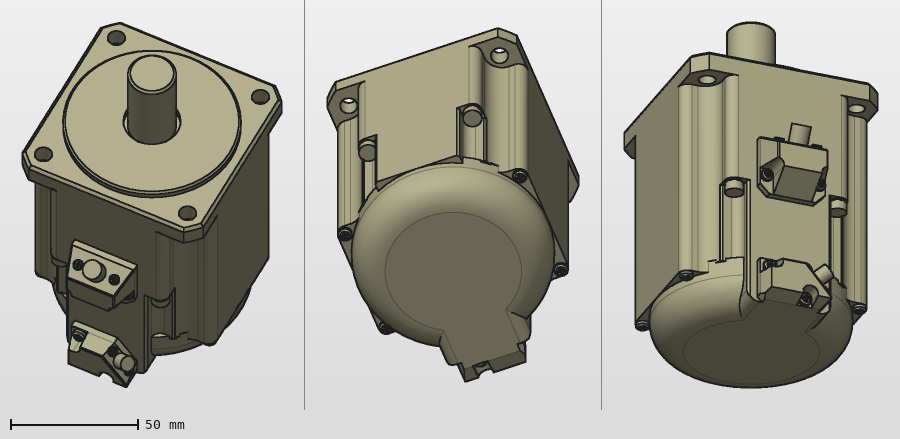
import cadquery as cq
import math


TOTAL_HEIGHT = 142.5
SQUARE = 80.0
HALF = SQUARE / 2

SHAFT_RADIUS = 9.5
SHAFT_CHAMFER = 1.0
PILOT_RADIUS = 35.0
PILOT_TOP = 110.6
PILOT_CHAMFER = 0.9
RECESS_RADIUS = 11.3
RECESS_DEPTH = 3.0

FLANGE_TOP = 107.6
FLANGE_BOTTOM = 99.2
FLANGE_CORNER_RADIUS = 52.6
FLANGE_CHAMFER = 1.3
BOLT_OFFSET = 31.8
BOLT_HOLE_RADIUS = 3.4

BODY_BOTTOM = 16.1
CORNER_BOTTOM = 19.7
CORNER_HALF = 28.5
EDGE_ROUND = 4.0
CHANNEL_CENTRE = 33.3
CHANNEL_RADIUS = 7.4
CHANNEL_WALL = CHANNEL_CENTRE - CHANNEL_RADIUS
FLAT_HALF = CHANNEL_WALL - EDGE_ROUND

NOTCH_TOP = 53.6
NOTCH_INNER = 17.8
NOTCH_FLOOR = 32.0
NOTCH_CHAMFER = 1.0
NOTCH_FLOOR_CHAMFER = 0.7
TIE_SCREW_RADIUS = 3.7
TIE_SCREW_BOTTOM = 48.7
TIE_SCREW_NECK = 0.9
TIE_SCREW_NECK_RADIUS = 3.1

CAP_TOP = 21.0
CAP_ROUND = 13.1
PLATE_CORNER_ROUND = 4.7

FOOT_SCREW_RADIUS = 2.7
FOOT_SCREW_HEIGHT = 2.0
FOOT_SCREW_X = HALF - 3.1
FOOT_SCREW_Y = FLAT_HALF + 0.7

SOCKET_HALF = 13.8
SOCKET_BASE_Y = -42.9
COVER_SCREW_HEIGHT = 2.1
CLAMP_SCREW_RADIUS = 2.0
CLAMP_SCREW_HEIGHT = 1.0
HEAD_CHAMFER_SHARE = 0.4
CROSS_LENGTH_SHARE = 1.3
CROSS_WIDTH_SHARE = 0.3
COVER_CHAMFER = 0.4
JOIN = 0.7

POWER_TOP = 72.0
POWER_BOTTOM = 47.3
POWER_FRONT_Y = -54.0
POWER_FRONT_TOP = 65.5
POWER_FRONT_BOTTOM = 54.7
POWER_FRONT_HALF = 10.5
POWER_BASE_CHAMFER = 4.0
POWER_SCREW_RADIUS = 2.4
POWER_SCREW_X = 11.1
POWER_SCREW_Z = 55.1
POWER_POCKET_RADIUS = 3.0
POWER_CABLE_RADIUS = 3.8
POWER_CABLE_LENGTH = 7.5
POWER_CLAMP_X = 8.0

SIGNAL_TOP = 18.0
SIGNAL_FRONT_Y = -49.7
SIGNAL_TAPER = 2.1
SIGNAL_SLANT_X = 3.1
SIGNAL_SLANT_ANGLE = 50.0
SIGNAL_SLANT_TAPER = 2.8
SIGNAL_FOOT_CHAMFER = 2.0
SIGNAL_SCREWS = ((-9.8, 14.7), (5.0, 3.0))
SIGNAL_SCREW_RADIUS = 2.7
SIGNAL_POCKET_RADIUS = 3.1
SIGNAL_CABLE_SHIFT = 7.1
SIGNAL_CABLE_SETBACK = 4.7
SIGNAL_CABLE_RADIUS = 3.1
SIGNAL_CABLE_LENGTH = 6.3
SIGNAL_CLAMP_OFFSET = 5.5

UP = (0, 0, 1)
DOWN = (0, 0, -1)
RIGHT = (1, 0, 0)
FORWARD = (0, -1, 0)
SIGNS = (-1, 1)
QUADRANTS = [(sx, sy) for sx in SIGNS for sy in SIGNS]


def cylinder(radius, start, direction, length):
    return cq.Workplane(cq.Solid.makeCylinder(radius, length, cq.Vector(*start), cq.Vector(*direction)))


def screw_head(radius, height, seat, direction, across):
    """Round head standing on seat, with a cross recess; 'across' lies in the seat plane."""
    plane = cq.Plane(origin=seat, xDir=across, normal=direction)
    head = cq.Workplane(plane).workplane(offset=-JOIN).circle(radius).extrude(height + JOIN)
    head = head.faces(cq.DirectionMinMaxSelector(cq.Vector(*direction))).chamfer(HEAD_CHAMFER_SHARE * height)
    slot_length = CROSS_LENGTH_SHARE * radius
    slot_width = CROSS_WIDTH_SHARE * radius
    recess = cq.Workplane(plane).workplane(offset=height / 2)
    bar = recess.rect(slot_length, slot_width).extrude(height)
    crossbar = recess.rect(slot_width, slot_length).extrude(height)
    return head.cut(bar).cut(crossbar)


def make_flange():
    flange = cq.Workplane().workplane(offset=FLANGE_BOTTOM).rect(SQUARE, SQUARE)
    flange = flange.extrude(FLANGE_TOP - FLANGE_BOTTOM)
    trim = cylinder(FLANGE_CORNER_RADIUS, (0, 0, FLANGE_BOTTOM), UP, FLANGE_TOP - FLANGE_BOTTOM)
    flange = flange.intersect(trim).faces(">Z").chamfer(FLANGE_CHAMFER)
    holes = cq.Workplane().workplane(offset=FLANGE_BOTTOM)
    holes = holes.rect(2 * BOLT_OFFSET, 2 * BOLT_OFFSET, forConstruction=True).vertices()
    return flange.cut(holes.circle(BOLT_HOLE_RADIUS).extrude(FLANGE_TOP - FLANGE_BOTTOM))


def make_pilot_and_shaft():
    pilot = cylinder(PILOT_RADIUS, (0, 0, FLANGE_BOTTOM), UP, PILOT_TOP - FLANGE_BOTTOM)
    pilot = pilot.faces(">Z").chamfer(PILOT_CHAMFER)
    shaft = cylinder(SHAFT_RADIUS, (0, 0, FLANGE_BOTTOM), UP, TOTAL_HEIGHT - FLANGE_BOTTOM)
    return pilot, shaft.faces(">Z").chamfer(SHAFT_CHAMFER)


def make_body():
    """Square column with a round bolt channel down each corner."""
    outer = CHANNEL_CENTRE + 2 * EDGE_ROUND
    height = FLANGE_BOTTOM - BODY_BOTTOM
    arc_mid = EDGE_ROUND * math.sqrt(0.5)
    channel_mid = CHANNEL_CENTRE - CHANNEL_RADIUS * math.sqrt(0.5)
    round_centre = HALF - EDGE_ROUND
    channel = (
        cq.Workplane().workplane(offset=BODY_BOTTOM)
        .moveTo(HALF, FLAT_HALF)
        .threePointArc((round_centre + arc_mid, FLAT_HALF + arc_mid), (round_centre, CHANNEL_WALL))
        .lineTo(CHANNEL_CENTRE, CHANNEL_WALL)
        .threePointArc((channel_mid, channel_mid), (CHANNEL_WALL, CHANNEL_CENTRE))
        .lineTo(CHANNEL_WALL, round_centre)
        .threePointArc((FLAT_HALF + arc_mid, round_centre + arc_mid), (FLAT_HALF, HALF))
        .lineTo(FLAT_HALF, outer)
        .lineTo(outer, outer)
        .lineTo(outer, FLAT_HALF)
        .close()
        .extrude(height)
    )
    body = cq.Workplane().workplane(offset=BODY_BOTTOM).rect(SQUARE, SQUARE).extrude(height)
    for quarter in range(4):
        body = body.cut(channel.rotate((0, 0, 0), UP, 90 * quarter))
    return body


def make_notch(sx, sy):
    """Space for a tie screw in a front or back side, open to the corner channel."""
    corner = HALF - EDGE_ROUND - NOTCH_FLOOR
    arc_inset = corner * (1 - math.sqrt(0.5))
    return (
        cq.Workplane()
        .moveTo(sx * CHANNEL_CENTRE, sy * (NOTCH_FLOOR - NOTCH_FLOOR_CHAMFER))
        .lineTo(sx * CHANNEL_WALL, sy * (NOTCH_FLOOR - NOTCH_FLOOR_CHAMFER))
        .lineTo(sx * (CHANNEL_WALL - NOTCH_FLOOR_CHAMFER), sy * NOTCH_FLOOR)
        .lineTo(sx * (NOTCH_INNER + corner), sy * NOTCH_FLOOR)
        .threePointArc(
            (sx * (NOTCH_INNER + arc_inset), sy * (NOTCH_FLOOR + arc_inset)),
            (sx * NOTCH_INNER, sy * (NOTCH_FLOOR + corner)),
        )
        .lineTo(sx * NOTCH_INNER, sy * (HALF - NOTCH_CHAMFER))
        .lineTo(sx * (NOTCH_INNER - NOTCH_CHAMFER), sy * HALF)
        .lineTo(sx * CHANNEL_CENTRE, sy * HALF)
        .close()
        .extrude(NOTCH_TOP)
    )


def make_corner_trim(sx, sy):
    """Block that shortens the body below a notch, from the notch side wall to the corner channel."""
    width = CORNER_HALF - NOTCH_INNER
    depth = HALF - FLAT_HALF
    trim = cq.Workplane().rect(width, depth).extrude(CORNER_BOTTOM)
    return trim.translate((sx * (NOTCH_INNER + width / 2), sy * (FLAT_HALF + depth / 2), 0))


def make_cap():
    """Round rear cap and the connector plate on its front."""
    cap = cylinder(HALF, (0, 0, 0), UP, CAP_TOP).faces("<Z").edges().fillet(CAP_ROUND)
    plate = cq.Workplane().box(2 * NOTCH_INNER, HALF, CAP_TOP, centered=(True, False, False))
    plate = plate.translate((0, -HALF, 0))
    plate = plate.edges("|Z and <Y").chamfer(NOTCH_CHAMFER).edges("|Y and <Z").fillet(PLATE_CORNER_ROUND)
    return cap.union(plate)


def make_tie_screws():
    screws = []
    centre_y = HALF - EDGE_ROUND
    for sx, sy in QUADRANTS:
        seat = (sx * FLAT_HALF, sy * centre_y, TIE_SCREW_BOTTOM)
        head_height = NOTCH_TOP - TIE_SCREW_NECK - TIE_SCREW_BOTTOM
        head = cylinder(TIE_SCREW_RADIUS, seat, UP, head_height)
        neck = cylinder(TIE_SCREW_NECK_RADIUS, seat, UP, NOTCH_TOP + JOIN - TIE_SCREW_BOTTOM)
        screws.append(head.union(neck))
    return screws


def make_foot_screws():
    return [
        screw_head(FOOT_SCREW_RADIUS, FOOT_SCREW_HEIGHT, (sx * FOOT_SCREW_X, sy * FOOT_SCREW_Y, BODY_BOTTOM),
                   DOWN, RIGHT)
        for sx, sy in QUADRANTS
    ]


def connector_block(outline, side_profile, plan_profile):
    """Solid common to a front outline (X, Z), a side profile (Y, Z) and a plan profile (X, Y)."""
    front = cq.Workplane("XZ").polyline(outline).close().extrude(SQUARE)
    side = cq.Workplane("YZ").polyline(side_profile).close().extrude(SOCKET_HALF, both=True)
    plan = cq.Workplane("XY").polyline(plan_profile).close().extrude(TOTAL_HEIGHT)
    return front.intersect(side).intersect(plan)


def screw_pocket(x, z, radius, outward, upward):
    """Round-ended relief in front of the base plate, open to the sides given as -1, 0 or 1."""
    reach = SOCKET_HALF
    seat = cq.Workplane("XZ", origin=(x, SOCKET_BASE_Y, z))
    pocket = seat.circle(radius).extrude(SQUARE)
    if outward:
        side = seat.center(outward * reach / 2, 0).rect(reach, 2 * radius).extrude(SQUARE)
        pocket = pocket.union(side)
    return pocket.union(seat.center(0, upward * reach / 2).rect(2 * radius, reach).extrude(SQUARE))


def make_power_connector():
    """Wedge-topped connector with a cable leaving its sloped face."""
    back_y = -HALF + JOIN
    foot_half = SOCKET_HALF - POWER_BASE_CHAMFER
    foot_z = POWER_BOTTOM + POWER_BASE_CHAMFER
    block = connector_block(
        [(-SOCKET_HALF, POWER_TOP), (SOCKET_HALF, POWER_TOP), (SOCKET_HALF, foot_z),
         (foot_half, POWER_BOTTOM), (-foot_half, POWER_BOTTOM), (-SOCKET_HALF, foot_z)],
        [(back_y, POWER_TOP), (SOCKET_BASE_Y, POWER_TOP), (POWER_FRONT_Y, POWER_FRONT_TOP),
         (POWER_FRONT_Y, POWER_FRONT_BOTTOM), (SOCKET_BASE_Y, POWER_BOTTOM), (back_y, POWER_BOTTOM)],
        [(-SOCKET_HALF, back_y), (-SOCKET_HALF, SOCKET_BASE_Y), (-POWER_FRONT_HALF, POWER_FRONT_Y),
         (POWER_FRONT_HALF, POWER_FRONT_Y), (SOCKET_HALF, SOCKET_BASE_Y), (SOCKET_HALF, back_y)],
    )
    slope_run = SOCKET_BASE_Y - POWER_FRONT_Y
    slope_drop = POWER_TOP - POWER_FRONT_TOP
    slope_length = math.hypot(slope_run, slope_drop)
    normal = (0, -slope_drop / slope_length, slope_run / slope_length)
    slope_mid = ((SOCKET_BASE_Y + POWER_FRONT_Y) / 2, (POWER_TOP + POWER_FRONT_TOP) / 2)
    sloped_face = block.faces(cq.DirectionMinMaxSelector(cq.Vector(*normal)))
    block = sloped_face.edges("not(>Z)").add(block.faces("<Y").edges("|Z")).chamfer(COVER_CHAMFER)
    for sx in SIGNS:
        pocket = screw_pocket(sx * POWER_SCREW_X, POWER_SCREW_Z, POWER_POCKET_RADIUS, sx, -1)
        block = block.cut(pocket)
    cable_start = (0, slope_mid[0] - JOIN * normal[1], slope_mid[1] - JOIN * normal[2])
    block = block.union(cylinder(POWER_CABLE_RADIUS, cable_start, normal, POWER_CABLE_LENGTH + JOIN))
    for sx in SIGNS:
        cover_seat = (sx * POWER_SCREW_X, SOCKET_BASE_Y, POWER_SCREW_Z)
        block = block.union(screw_head(POWER_SCREW_RADIUS, COVER_SCREW_HEIGHT, cover_seat, FORWARD, RIGHT))
        clamp_seat = (sx * POWER_CLAMP_X, *slope_mid)
        block = block.union(screw_head(CLAMP_SCREW_RADIUS, CLAMP_SCREW_HEIGHT, clamp_seat, normal, RIGHT))
    return block


def make_signal_connector():
    """Connector at the rear cap with a cable leaving its slanted corner."""
    back_y = -HALF + JOIN
    depth = SOCKET_BASE_Y - SIGNAL_FRONT_Y
    slant_angle = math.radians(SIGNAL_SLANT_ANGLE)
    tilt = math.atan2(SIGNAL_SLANT_TAPER, depth)
    along = cq.Vector(math.cos(slant_angle), 0, -math.sin(slant_angle))
    normal = cq.Vector(
        math.cos(tilt) * math.sin(slant_angle), -math.sin(tilt), math.cos(tilt) * math.cos(slant_angle),
    )
    front_top = SIGNAL_TOP - SIGNAL_TAPER
    front_slant = cq.Vector(SIGNAL_SLANT_X, SIGNAL_FRONT_Y, front_top)

    foot_half = SOCKET_HALF - SIGNAL_FOOT_CHAMFER
    block = connector_block(
        [(-SOCKET_HALF, SIGNAL_TOP), (SOCKET_HALF, SIGNAL_TOP), (SOCKET_HALF, SIGNAL_FOOT_CHAMFER),
         (foot_half, 0), (-foot_half, 0), (-SOCKET_HALF, SIGNAL_FOOT_CHAMFER)],
        [(back_y, 0), (SOCKET_BASE_Y, 0), (SIGNAL_FRONT_Y, SIGNAL_TAPER),
         (SIGNAL_FRONT_Y, front_top), (SOCKET_BASE_Y, SIGNAL_TOP), (back_y, SIGNAL_TOP)],
        [(-SOCKET_HALF, back_y), (-SOCKET_HALF, SOCKET_BASE_Y), (SIGNAL_TAPER - SOCKET_HALF, SIGNAL_FRONT_Y),
         (SOCKET_HALF, SIGNAL_FRONT_Y), (SOCKET_HALF, back_y)],
    )
    corner_plane = cq.Plane(origin=front_slant, xDir=(0, 1, 0), normal=along)
    reach = 2 * SOCKET_HALF
    corner = (
        cq.Workplane(corner_plane)
        .polyline([
            (0, 0), (depth, SIGNAL_SLANT_TAPER), (reach, SIGNAL_SLANT_TAPER), (reach, reach), (0, reach),
        ])
        .close()
        .extrude(reach, both=True)
    )
    block = block.cut(corner)
    front_face = block.faces("<Y")
    slant_edge = front_face.edges(cq.selectors.ParallelDirSelector(along))
    block = front_face.edges(">Z").add(slant_edge).chamfer(COVER_CHAMFER)

    (upper_x, upper_z), (lower_x, lower_z) = SIGNAL_SCREWS
    block = block.cut(screw_pocket(upper_x, upper_z, SIGNAL_POCKET_RADIUS, -1, 1))
    block = block.cut(screw_pocket(lower_x, lower_z, SIGNAL_POCKET_RADIUS, 0, -1))
    for x, z in SIGNAL_SCREWS:
        seat = (x, SOCKET_BASE_Y, z)
        block = block.union(screw_head(SIGNAL_SCREW_RADIUS, COVER_SCREW_HEIGHT, seat, FORWARD, RIGHT))

    toward_base = normal.cross(along)
    cable_seat = front_slant + along * SIGNAL_CABLE_SHIFT + toward_base * SIGNAL_CABLE_SETBACK
    cable_start = cable_seat - normal * JOIN
    cable_length = SIGNAL_CABLE_LENGTH + JOIN
    block = block.union(cylinder(SIGNAL_CABLE_RADIUS, cable_start.toTuple(), normal.toTuple(), cable_length))
    for side in SIGNS:
        seat = (cable_seat + along * (side * SIGNAL_CLAMP_OFFSET)).toTuple()
        clamp = screw_head(CLAMP_SCREW_RADIUS, CLAMP_SCREW_HEIGHT, seat, normal.toTuple(), along.toTuple())
        block = block.union(clamp)
    return block


def make_motor():
    body = make_body().union(make_flange())
    for sx, sy in QUADRANTS:
        body = body.cut(make_notch(sx, sy)).cut(make_corner_trim(sx, sy))
    pilot, shaft = make_pilot_and_shaft()
    recess = cylinder(RECESS_RADIUS, (0, 0, PILOT_TOP - RECESS_DEPTH), UP, RECESS_DEPTH)
    motor = body.union(pilot).cut(recess).union(shaft).union(make_cap())
    for screw in make_tie_screws() + make_foot_screws():
        motor = motor.union(screw)
    return motor.union(make_power_connector()).union(make_signal_connector())


result = make_motor()